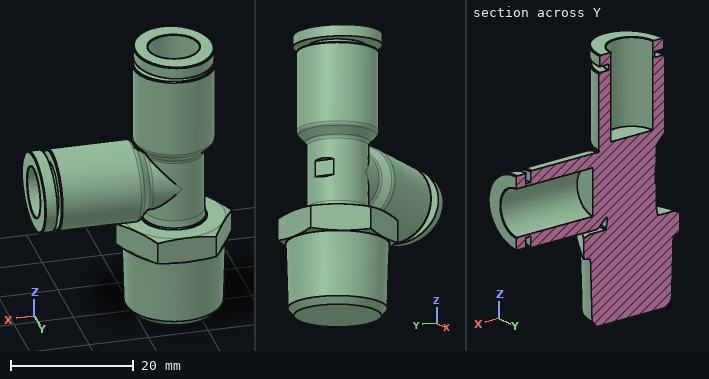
import cadquery as cq
import math

total_height = 47.4
branch_height = 23.8
hex_bottom = 12.1
hex_top = 16.6
flare_bottom = 16.85
flare_top = 18.1

thread_tip_chamfer_height = 1.2
thread_tip_radius = 7.15
thread_top_radius = 8.5
thread_radius_per_length = 1 / 32

hex_across_flats = 17.0
hex_face_radius = 8.4
hex_chamfer_angle = 16.0

neck_radius = 5.05
flare_radius = 5.25
flare_foot_radius = 5.45

socket_length = total_height - branch_height
socket_radius = 6.8
cone_gap = 0.1
neck_blend_radius = 0.85
socket_blend_radius = 0.95
socket_end = 20.6
socket_end_chamfer = 0.2

groove_radius = 4.8
collar_thickness = 2.05
collar_width = 13.1
collar_breadth = 15.05
collar_edge_chamfer = 0.15

bore_radius = 4.2
bore_chamfer = 0.1
bore_depth = 15.65

recess_depth = 0.3
recess_floor_height = 2.6

web_thickness = 0.6
web_start = 5.15
web_step = 6.05
web_end = 6.8
web_inner_breadth = 1.35
web_outer_breadth = 2.45


def revolve_profile(outer_points):
    """Revolve (radius, height) points, closed along the axis, about Z."""
    bottom = outer_points[0][1]
    top = outer_points[-1][1]
    outline = [(0, bottom)] + outer_points + [(0, top)]
    return cq.Workplane("XZ").polyline(outline).close().revolve(360, (0, 0), (0, 1))


def make_base():
    taper_length = hex_bottom - thread_tip_chamfer_height
    thread_end_radius = thread_top_radius - taper_length * thread_radius_per_length
    return revolve_profile([
        (thread_tip_radius, 0),
        (thread_end_radius, thread_tip_chamfer_height),
        (thread_top_radius, hex_bottom),
        (flare_foot_radius, hex_bottom),
        (flare_foot_radius, hex_top),
        (flare_radius, flare_bottom),
        (neck_radius, flare_top),
        (neck_radius, branch_height),
    ])


def make_nut():
    """Hexagon with two corners on the X axis, chamfered on both faces."""
    corner_radius = hex_across_flats / math.sqrt(3)
    chamfer_height = (corner_radius - hex_face_radius) * math.tan(math.radians(hex_chamfer_angle))
    prism = (
        cq.Workplane("XY", origin=(0, 0, hex_bottom))
        .polygon(6, 2 * corner_radius)
        .extrude(hex_top - hex_bottom)
    )
    chamfer_envelope = revolve_profile([
        (hex_face_radius, hex_bottom),
        (corner_radius, hex_bottom + chamfer_height),
        (corner_radius, hex_top - chamfer_height),
        (hex_face_radius, hex_top),
    ])
    return prism.intersect(chamfer_envelope)


def socket_outline():
    """Neck and socket half-section, with both ends of the 45 degree cone blended."""
    half_bend = math.radians(45 / 2)
    neck_tangent = neck_blend_radius * math.tan(half_bend)
    socket_tangent = socket_blend_radius * math.tan(half_bend)
    diagonal = math.sqrt(0.5)
    neck_sag = neck_blend_radius * (1 - math.cos(half_bend))
    neck_rise = neck_blend_radius * math.sin(half_bend)
    socket_sag = socket_blend_radius * (1 - math.cos(half_bend))
    socket_rise = socket_blend_radius * math.sin(half_bend)

    neck_line = neck_radius + cone_gap - neck_tangent
    socket_line = socket_radius + cone_gap + socket_tangent
    cone_start = neck_radius + neck_tangent * diagonal
    cone_end = socket_radius - socket_tangent * diagonal
    return (
        cq.Workplane("XZ")
        .lineTo(neck_radius, 0)
        .lineTo(neck_radius, neck_line)
        .threePointArc((neck_radius + neck_sag, neck_line + neck_rise), (cone_start, cone_start + cone_gap))
        .lineTo(cone_end, cone_end + cone_gap)
        .threePointArc(
            (socket_radius - socket_sag, socket_line - socket_rise),
            (socket_radius, socket_line),
        )
        .lineTo(socket_radius, socket_end - socket_end_chamfer)
        .lineTo(socket_radius - socket_end_chamfer, socket_end)
        .lineTo(groove_radius, socket_end)
        .lineTo(groove_radius, socket_length)
        .lineTo(0, socket_length)
        .close()
    )


def make_socket():
    """Upright socket with the axis crossing at the origin."""
    body = socket_outline().revolve(360, (0, 0), (0, 1))
    collar = (
        cq.Workplane("XY", origin=(0, 0, socket_length - collar_thickness))
        .ellipse(collar_width / 2, collar_breadth / 2)
        .extrude(collar_thickness)
        .faces(">Z")
        .chamfer(collar_edge_chamfer)
    )
    return body.union(collar)


def make_bore():
    """Blind tube bore of the upright socket, with a chamfered mouth."""
    return revolve_profile([
        (bore_radius, socket_length - bore_depth),
        (bore_radius, socket_length - bore_chamfer),
        (bore_radius + bore_chamfer, socket_length),
    ])


def make_web():
    """Stepped plate on the diagonal plane between the two sockets."""
    def plate(start, end, breadth):
        length = (end - start) * math.sqrt(2)
        middle = (start + end) / 2
        return (
            cq.Workplane("XY")
            .box(length, breadth, web_thickness)
            .rotate((0, 0, 0), (0, 1, 0), -45)
            .translate((middle, 0, middle))
        )

    inner = plate(web_start, web_end, web_inner_breadth)
    outer = plate(web_step, web_end, web_outer_breadth)
    return inner.union(outer)


def make_recess():
    """Cutter with a flat floor and 45 degree upper and lower sides."""
    floor_x = -(neck_radius - recess_depth)
    outside_x = -neck_radius - recess_depth
    half_floor = recess_floor_height / 2
    half_mouth = half_floor + floor_x - outside_x
    return (
        cq.Workplane("XZ", origin=(0, 0, branch_height))
        .polyline([
            (floor_x, -half_floor),
            (floor_x, half_floor),
            (outside_x, half_mouth),
            (outside_x, -half_mouth),
        ])
        .close()
        .extrude(neck_radius, both=True)
    )


def raise_to_crossing(shape):
    return shape.translate((0, 0, branch_height))


def turn_to_branch(shape):
    return shape.rotate((0, 0, 0), (0, 1, 0), 90)


socket = make_socket()
bore = make_bore()

result = make_base().union(make_nut())
for feature in (socket, turn_to_branch(socket), make_web()):
    result = result.union(raise_to_crossing(feature))
for cutter in (bore, turn_to_branch(bore)):
    result = result.cut(raise_to_crossing(cutter))
result = result.cut(make_recess())